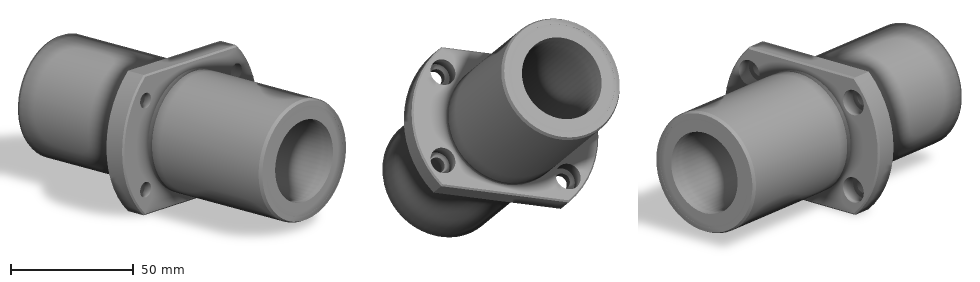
import cadquery as cq

length = 135.0
sleeve_diameter = 52.0
bore_diameter = 35.0
end_chamfer_length = 1.5
end_chamfer_depth = 0.7

recess_diameter = 46.5
recess_depth = 0.07

flange_diameter = 82.0
flange_height = 60.0
flange_thickness = 10.0
flange_chamfer = 0.7

groove_width = 2.2
groove_depth = 0.4

hole_diameter = 6.6
counterbore_diameter = 11.0
counterbore_depth = 6.5
hole_spacing_y = 55.0
hole_spacing_z = 38.1

end_x = length / 2
sleeve_radius = sleeve_diameter / 2
flange_face_x = flange_thickness / 2

AXIS_START = (0, 0, 0)
AXIS_END = (1, 0, 0)


def cylinder_along_x(diameter, start_x, depth, y=0.0, z=0.0):
    """Cylinder growing from start_x along +X, or along -X for a negative depth."""
    return (
        cq.Workplane("YZ", origin=(start_x, 0, 0))
        .center(y, z)
        .circle(diameter / 2)
        .extrude(depth)
    )


def make_sleeve():
    """Solid round bar with chamfered ends."""
    chamfer_x = end_x - end_chamfer_length
    face_radius = sleeve_radius - end_chamfer_depth
    return (
        cq.Workplane("XY")
        .moveTo(-end_x, 0)
        .lineTo(-end_x, face_radius)
        .lineTo(-chamfer_x, sleeve_radius)
        .lineTo(chamfer_x, sleeve_radius)
        .lineTo(end_x, face_radius)
        .lineTo(end_x, 0)
        .close()
        .revolve(360, AXIS_START, AXIS_END)
    )


def make_flange():
    disc = cylinder_along_x(flange_diameter, -flange_face_x, flange_thickness)
    flats = cq.Workplane("XY").box(flange_thickness, flange_diameter, flange_height)
    return disc.intersect(flats).faces("<X or >X").chamfer(flange_chamfer)


def make_groove_ring(side):
    """Ring between the groove arc and the sleeve surface, on the given side of the flange."""
    inner_x = side * flange_face_x
    middle_x = side * (flange_face_x + groove_width / 2)
    outer_x = side * (flange_face_x + groove_width)
    return (
        cq.Workplane("XY")
        .moveTo(inner_x, sleeve_radius)
        .threePointArc((middle_x, sleeve_radius - groove_depth), (outer_x, sleeve_radius))
        .close()
        .revolve(360, AXIS_START, AXIS_END)
    )


def make_seal_recess(side):
    return cylinder_along_x(recess_diameter, side * end_x, -side * recess_depth)


def make_mounting_hole(y, z):
    """Through hole with its counterbore opening on the -X face of the flange."""
    through_hole = cylinder_along_x(hole_diameter, -flange_face_x, flange_thickness, y, z)
    counterbore = cylinder_along_x(counterbore_diameter, -flange_face_x, counterbore_depth, y, z)
    return through_hole.union(counterbore)


result = make_sleeve().union(make_flange())
result = result.cut(cylinder_along_x(bore_diameter, -end_x, length))

for side in (-1, 1):
    result = result.cut(make_groove_ring(side))
    result = result.cut(make_seal_recess(side))

for y in (-hole_spacing_y / 2, hole_spacing_y / 2):
    for z in (-hole_spacing_z / 2, hole_spacing_z / 2):
        result = result.cut(make_mounting_hole(y, z))